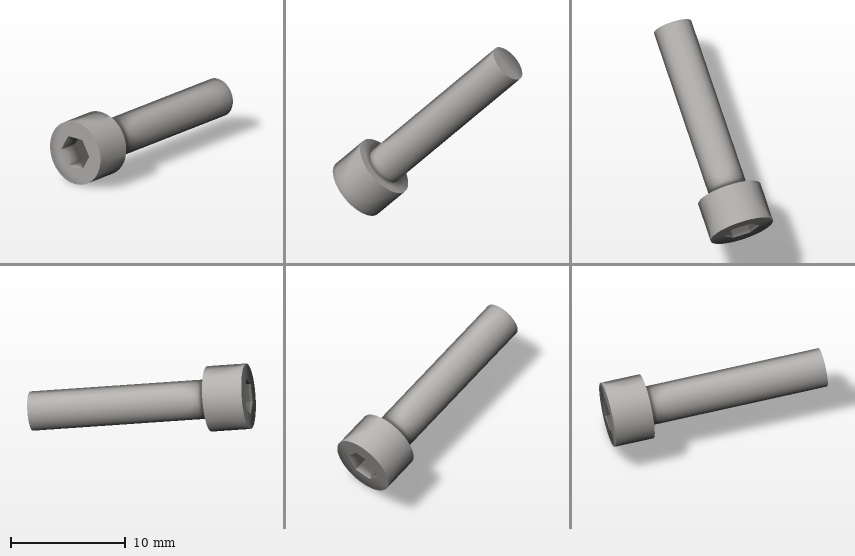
import cadquery as cq
import math

total_length = 19.38
head_diameter = 5.72
head_length = 3.5
shank_diameter = 3.43
socket_across_flats = 2.75
socket_depth = 1.94

shank_length = total_length - head_length
socket_across_corners = socket_across_flats / math.cos(math.pi / 6)


def along_y(start):
    """Workplane at Y = start whose normal points to +Y."""
    plane = cq.Plane(origin=(0, start, 0), xDir=(1, 0, 0), normal=(0, 1, 0))
    return cq.Workplane(plane)


def make_head():
    return along_y(0).circle(head_diameter / 2).extrude(head_length)


def make_shank():
    return along_y(head_length).circle(shank_diameter / 2).extrude(shank_length)


def make_socket():
    """Hexagonal socket with two corners on the X axis."""
    return along_y(0).polygon(6, socket_across_corners).extrude(socket_depth)


result = make_head().union(make_shank()).cut(make_socket())